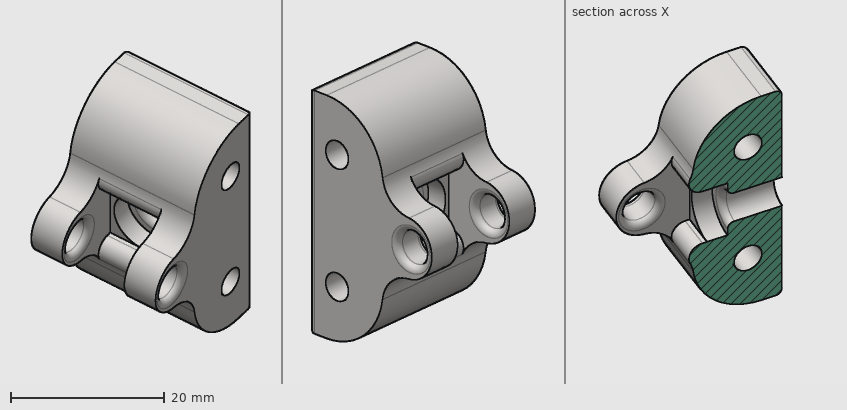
import math

import cadquery as cq


width = 20.0
height = 35.0
depth = 21.71
shoulder_radius = 10.0
shoulder_flat = 3.1
nose_radius = 4.4
neck_radius = 5.0
back_edge_fillet = 1.0

hinge_depth = 18.0
hinge_diameter = 4.8
cross_hole_diameter = 4.0
cross_hole_depth = 5.0
cross_hole_spacing = 19.0

slot_width = 10.0
slot_height = 8.8
slot_floor_depth = 11.0
slot_lip_radius = 2.0

screw_diameter = 4.8
counterbore_diameter = 8.8
counterbore_floor_depth = 8.0

hole_edge_radius = 1.0


def point_on_ray(start, toward, distance):
    """Point at the given distance from start in the direction of another point."""
    dx = toward[0] - start[0]
    dy = toward[1] - start[1]
    scale = distance / math.hypot(dx, dy)
    return (start[0] + dx * scale, start[1] + dy * scale)


def circle_crossing(center_a, radius_a, center_b, radius_b):
    """Crossing of two circles that lies on the left of the direction from a to b."""
    dx = center_b[0] - center_a[0]
    dy = center_b[1] - center_a[1]
    gap = math.hypot(dx, dy)
    along = (gap**2 + radius_a**2 - radius_b**2) / (2 * gap)
    across = math.sqrt(radius_a**2 - along**2)
    return (
        center_a[0] + (along * dx - across * dy) / gap,
        center_a[1] + (along * dy + across * dx) / gap,
    )


def midpoint(start, end):
    return ((start[0] + end[0]) / 2, (start[1] + end[1]) / 2)


def mirrored(point):
    return (point[0], -point[1])


shoulder_center = (-shoulder_flat, height / 2 - shoulder_radius)
nose_center = (nose_radius - depth, 0)
neck_center = circle_crossing(
    nose_center, nose_radius + neck_radius, shoulder_center, shoulder_radius + neck_radius
)


def make_body():
    """Profile in the YZ plane: shoulders blending through concave necks into the nose."""
    top = height / 2
    shoulder_start = (-shoulder_flat, top)
    shoulder_end = point_on_ray(shoulder_center, neck_center, shoulder_radius)
    nose_start = point_on_ray(nose_center, neck_center, nose_radius)
    nose_tip = (-depth, 0)

    shoulder_middle = point_on_ray(
        shoulder_center, midpoint(shoulder_start, shoulder_end), shoulder_radius
    )
    neck_middle = point_on_ray(neck_center, midpoint(shoulder_end, nose_start), neck_radius)

    profile = (
        cq.Workplane("YZ")
        .moveTo(0, top)
        .lineTo(*shoulder_start)
        .threePointArc(shoulder_middle, shoulder_end)
        .threePointArc(neck_middle, nose_start)
        .threePointArc(nose_tip, mirrored(nose_start))
        .threePointArc(mirrored(neck_middle), mirrored(shoulder_end))
        .threePointArc(mirrored(shoulder_middle), mirrored(shoulder_start))
        .lineTo(0, -top)
        .close()
    )
    body = profile.extrude(width / 2, both=True)
    return body.faces(">Y").edges().fillet(back_edge_fillet)


def make_slot():
    """Box between the arms whose walls round outward over lips tangent to wall and neck."""
    lip_center_z = slot_height / 2 + slot_lip_radius
    lip_reach = neck_radius + slot_lip_radius
    lip_center_y = neck_center[0] + math.sqrt(lip_reach**2 - (neck_center[1] - lip_center_z) ** 2)
    lip_center = (lip_center_y, lip_center_z)
    lip_end = point_on_ray(lip_center, neck_center, slot_lip_radius)

    slot = (
        cq.Workplane("XY")
        .box(slot_width, depth - slot_floor_depth, slot_height)
        .translate((0, -(slot_floor_depth + depth) / 2, 0))
    )
    flare = (
        cq.Workplane("XY")
        .box(slot_width, depth + lip_center_y, 2 * lip_end[1])
        .translate((0, (lip_center_y - depth) / 2, 0))
    )
    lips = (
        cq.Workplane("YZ")
        .pushPoints([lip_center, mirrored(lip_center)])
        .circle(slot_lip_radius)
        .extrude(slot_width / 2, both=True)
    )
    return slot.union(flare.cut(lips))


def rounded_rim(hole_diameter):
    """Trumpet-shaped cutter for a hole rim: opens toward +Z, flush with Z = 0."""
    bore = hole_diameter / 2
    rim = bore + hole_edge_radius
    arc_reach = hole_edge_radius * math.sqrt(0.5)
    return (
        cq.Workplane("XZ")
        .lineTo(rim, 0)
        .threePointArc((rim - arc_reach, arc_reach - hole_edge_radius), (bore, -hole_edge_radius))
        .lineTo(0, -hole_edge_radius)
        .close()
        .revolve(360, (0, 0), (0, 1))
    )


def cut_hinge_hole(part):
    hole = (
        cq.Workplane("YZ")
        .center(-hinge_depth, 0)
        .circle(hinge_diameter / 2)
        .extrude(width / 2, both=True)
    )
    part = part.cut(hole)
    toward_positive_x = rounded_rim(hinge_diameter).rotate((0, 0, 0), (0, 1, 0), 90)
    toward_negative_x = rounded_rim(hinge_diameter).rotate((0, 0, 0), (0, 1, 0), -90)
    for rim, x in (
        (toward_negative_x, -width / 2),
        (toward_positive_x, -slot_width / 2),
        (toward_negative_x, slot_width / 2),
        (toward_positive_x, width / 2),
    ):
        part = part.cut(rim.translate((x, -hinge_depth, 0)))
    return part


def cut_cross_holes(part):
    holes = (
        cq.Workplane("YZ")
        .center(-cross_hole_depth, 0)
        .rarray(1, cross_hole_spacing, 1, 2)
        .circle(cross_hole_diameter / 2)
        .extrude(width / 2, both=True)
    )
    return part.cut(holes)


def cut_screw_hole(part):
    """Through hole along Y, counterbored from the slot floor with a rounded inner rim."""
    hole = cq.Workplane("XZ").circle(screw_diameter / 2).extrude(slot_floor_depth)
    counterbore = (
        cq.Workplane("XZ", origin=(0, -counterbore_floor_depth, 0))
        .circle(counterbore_diameter / 2)
        .extrude(slot_floor_depth - counterbore_floor_depth)
    )
    rim = rounded_rim(screw_diameter).rotate((0, 0, 0), (1, 0, 0), 90)
    rim = rim.translate((0, -counterbore_floor_depth, 0))
    return part.cut(hole).cut(counterbore).cut(rim)


result = make_body().cut(make_slot())
result = cut_hinge_hole(result)
result = cut_cross_holes(result)
result = cut_screw_hole(result)